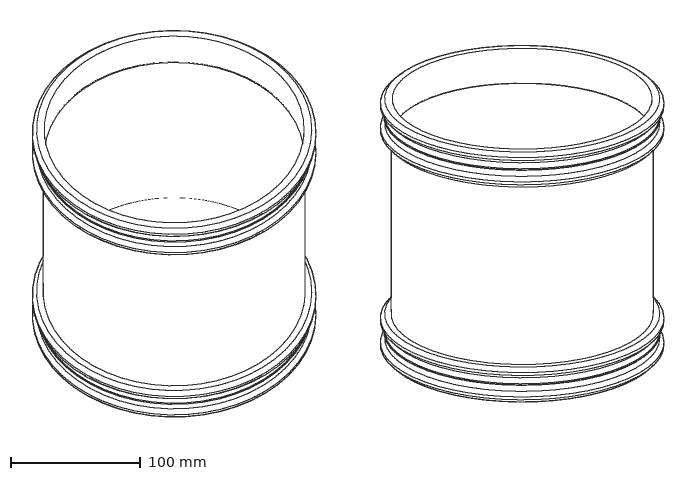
import cadquery as cq

total_height = 208.8
bore_radius = 200.0 / 2
tube_radius = 201.8 / 2

collar_height = 29.3
flange_radius = 218.5 / 2
waist_radius = 211.8 / 2
bevel = flange_radius - waist_radius
rim_width = 2.5
flange_height = 2 * bevel + rim_width

bead_width = 1.3
bead_height = 0.7

upper_collar_base = total_height - collar_height


def ring(inner_radius, outer_radius, base, height):
    """Plain ring on the Z axis."""
    return cq.Workplane("XY").workplane(offset=base).circle(outer_radius).circle(inner_radius).extrude(height)


def pointed_bead(mid_height):
    """Triangular ridge standing on the waist surface, rooted through to the bore."""
    profile = [
        (waist_radius, mid_height - bead_width / 2),
        (waist_radius + bead_height, mid_height),
        (waist_radius, mid_height + bead_width / 2),
        (bore_radius, mid_height + bead_width / 2),
        (bore_radius, mid_height - bead_width / 2),
    ]
    return cq.Workplane("XZ").polyline(profile).close().revolve(360, (0, 0, 0), (0, 1, 0))


def flange(base):
    """Ring whose outer edges are bevelled down to the waist radius."""
    blank = cq.Workplane("XY").workplane(offset=base).circle(flange_radius).extrude(flange_height)
    bore = cq.Workplane("XY").workplane(offset=base).circle(bore_radius).extrude(flange_height)
    return blank.edges().chamfer(bevel).cut(bore)


def collar(base):
    """Waist ring with a flange at both ends and a bead midway."""
    waist = ring(bore_radius, waist_radius, base, collar_height)
    bead = pointed_bead(base + collar_height / 2)
    upper_flange_base = base + collar_height - flange_height
    return waist.union(flange(base)).union(flange(upper_flange_base)).union(bead)


def flanged_tube():
    """Thin tube with the lower collar in one piece, ending under the upper collar."""
    tube = ring(bore_radius, tube_radius, 0, upper_collar_base)
    return tube.union(collar(0))


tube_body = flanged_tube()
upper_collar = collar(upper_collar_base)

result = cq.Compound.makeCompound([tube_body.val(), upper_collar.val()])